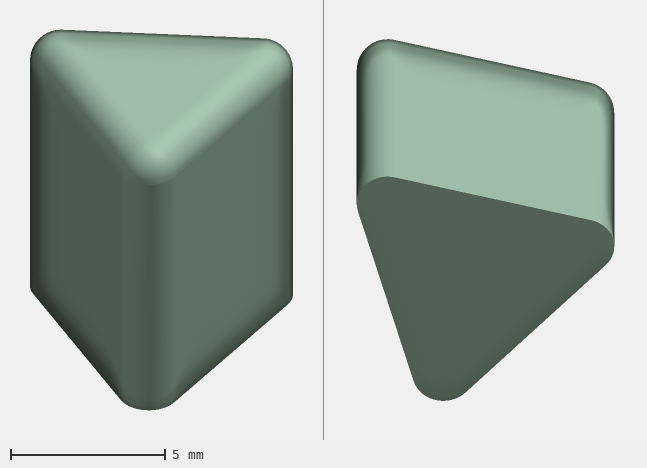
import cadquery as cq
import math

height = 10.0
side = 10.0
edge_radius = 1.0

inradius = side / (2 * math.sqrt(3))
circumradius = 2 * inradius
corners = [
    (-side / 2, -inradius),
    (side / 2, -inradius),
    (0, circumradius),
]

prism = cq.Workplane("XY").polyline(corners).close().extrude(height)

result = prism.edges("|Z or >Z").fillet(edge_radius)